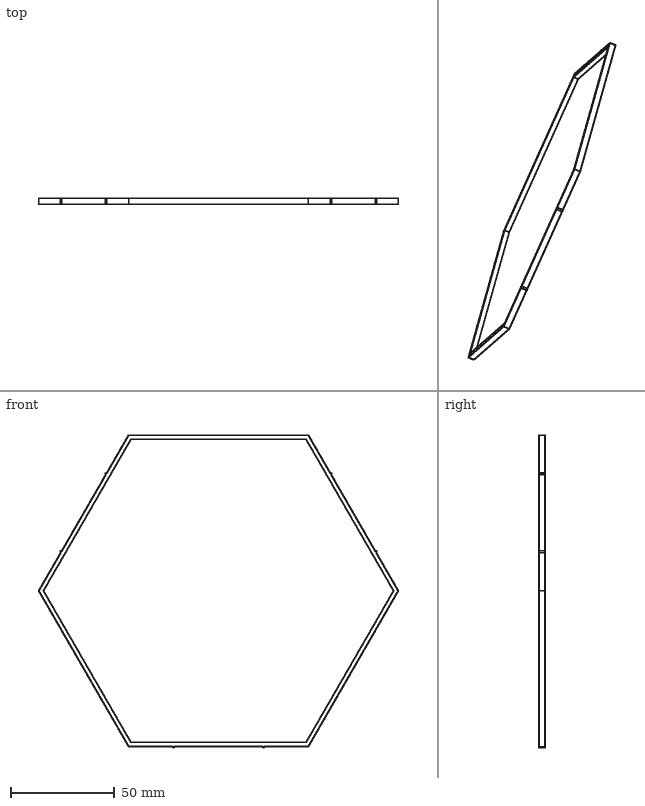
import cadquery as cq
import math

corner_width = 174.29
thickness = 3.0
floor_thickness = 0.6
rim_width = 2.0
recess_depth = thickness - floor_thickness

nub_radius = 0.5
nub_side_angles = (30, 150, 270)

side_length = corner_width / 2
flat_per_corner = math.cos(math.radians(30))
flat_distance = side_length * flat_per_corner
nub_offset = side_length / 4


def hexagon(inset, depth):
    """Hexagonal prism with flats at +Z and -Z, from the -Y face back by `depth`."""
    width = 2 * (flat_distance - inset) / flat_per_corner
    return cq.Workplane("XZ").polygon(6, width).extrude(-depth)


def nub_pair(angle):
    """Two full-thickness rods centred on one side, so that half of each stands proud."""
    centres = [(flat_distance, -nub_offset), (flat_distance, nub_offset)]
    rods = cq.Workplane("XZ").pushPoints(centres).circle(nub_radius).extrude(-thickness)
    return rods.rotate((0, 0, 0), (0, 1, 0), -angle)


tray = hexagon(0, thickness)
for side_angle in nub_side_angles:
    tray = tray.union(nub_pair(side_angle))

result = tray.cut(hexagon(rim_width, recess_depth))